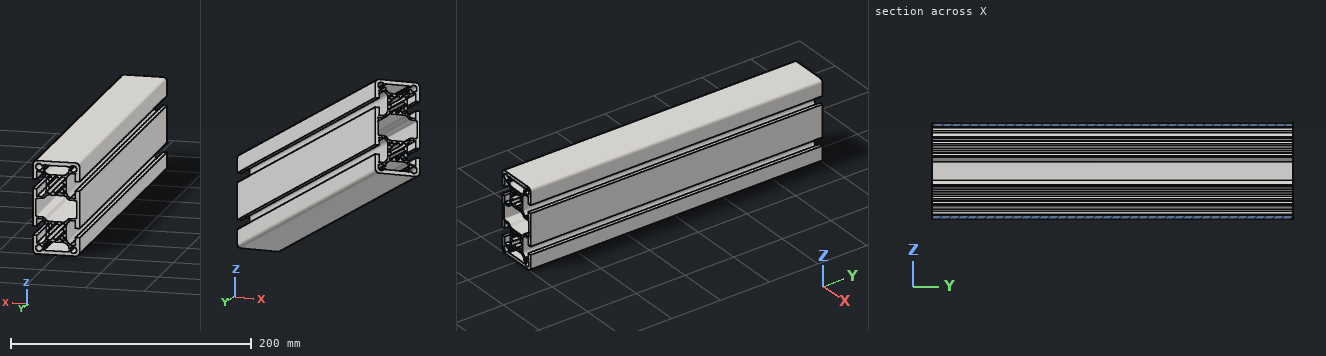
import cadquery as cq
import math

WIDTH = 40.0
LENGTH = 300.0
HEIGHT = 80.0
CORNER_RADIUS = 3.5

END_WALL = 3.5
SIDE_WALL = 2.5
LIP = 3.5
SLOT_WALL = 1.7
WEB = 1.8
WEB_FILLET = 4.0
CAVITY_CORNER_FILLET = 1.5

SLOT_OPENING = 8.0
SLOT_WIDTH = 21.0
SLOT_BEVEL = 3.3

CORE_SIZE = 17.4
CORE_WALL = 1.5
CORE_CORNER_RADIUS = 0.5

TOOTH_OFFSET = 2.8
TOOTH_HEIGHT = 2.2
TOOTH_BASE = 3.8

END_CAVITY_WIDTH = 21.2
CHANNEL_INSET = 5.3
CHANNEL_DIAMETER = 5.5
CHANNEL_MOUTH = 2.6

HALF_WIDTH = WIDTH / 2
HALF_CORE = CORE_SIZE / 2
HALF_SLOT = SLOT_WIDTH / 2
HALF_BORE = HALF_CORE - CORE_WALL
MODULE_HEIGHT = HEIGHT / 2
MODULE_CENTRE = MODULE_HEIGHT / 2
SLOT_FACE_RISE = HALF_SLOT - (HALF_CORE + SLOT_BEVEL)
WEB_RISE = SLOT_FACE_RISE + WEB * math.sqrt(2)

SIDES = (-1, 1)
CORE_WALLS = 4


def section(x=0, z=0):
    """Workplane on the front end face, with its origin at (x, z)."""
    return cq.Workplane("XZ", origin=(x, -LENGTH / 2, z))


def prism(outline):
    """Extrude an outline over the full length of the part."""
    return outline.extrude(-LENGTH)


def mirrored_prism(right_half, z):
    """Prism whose outline is right_half and its mirror image across X = 0."""
    left_half = [(-x, dz) for x, dz in reversed(right_half)]
    return prism(section(z=z).polyline(right_half + left_half).close())


def round_edges(solid, corners, radius):
    """Fillet the lengthwise edges that pass through the given (x, z) corners."""
    for x, z in corners:
        solid = solid.edges(cq.selectors.NearestToPointSelector((x, 0, z))).fillet(radius)
    return solid


def body():
    """Solid bar with rounded long edges."""
    bar = prism(section().rect(WIDTH, HEIGHT))
    return bar.edges("|Y").fillet(CORNER_RADIUS)


def slot(side, z):
    """T-slot: narrow opening, wide chamber and bevelled deep corners."""
    lip_x = HALF_WIDTH - LIP
    upper = [
        (HALF_WIDTH, SLOT_OPENING / 2),
        (lip_x, SLOT_OPENING / 2),
        (lip_x, HALF_SLOT),
        (HALF_CORE + SLOT_BEVEL, HALF_SLOT),
        (HALF_CORE, HALF_SLOT - SLOT_BEVEL),
    ]
    lower = [(x, -dz) for x, dz in reversed(upper)]
    points = [(side * x, dz) for x, dz in upper + lower]
    chamber = prism(section(z=z).polyline(points).close())
    core_x, core_rise = upper[-1]
    corners = [(side * core_x, z + end * core_rise) for end in SIDES]
    return round_edges(chamber, corners, WEB_FILLET)


def middle_cavity():
    """Cavity between the two cores, bounded by the webs and the slot walls."""
    slot_wall_z = MODULE_CENTRE - HALF_SLOT - SLOT_WALL
    core = (HALF_CORE - WEB_RISE, MODULE_CENTRE - HALF_CORE)
    web = (HALF_SLOT + SLOT_WALL - WEB_RISE, slot_wall_z)
    outer = (HALF_WIDTH - SIDE_WALL, slot_wall_z)
    upper = [core, web, outer]
    lower = [(x, -z) for x, z in reversed(upper)]
    cavity = mirrored_prism(upper + lower, 0)
    for side in SIDES:
        for end in SIDES:
            web_corners = [(side * x, end * z) for x, z in (core, web)]
            outer_corner = (side * outer[0], end * outer[1])
            cavity = round_edges(cavity, web_corners, WEB_FILLET)
            cavity = round_edges(cavity, [outer_corner], CAVITY_CORNER_FILLET)
    return cavity


def end_cavity(end):
    """Cavity between a core and its end wall, joined to its two corner channels."""
    half_cavity = END_CAVITY_WIDTH / 2
    core_x = HALF_CORE - WEB_RISE
    right_half = [
        (core_x, end * HALF_CORE),
        (half_cavity, end * (half_cavity + WEB_RISE)),
        (half_cavity, end * (MODULE_HEIGHT / 2 - END_WALL)),
    ]
    cavity = mirrored_prism(right_half, end * MODULE_CENTRE)
    core_corners = [(side * core_x, end * (MODULE_CENTRE + HALF_CORE)) for side in SIDES]
    cavity = round_edges(cavity, core_corners, WEB_FILLET)
    channel_x = HALF_WIDTH - CHANNEL_INSET
    channel_z = end * (HEIGHT / 2 - CHANNEL_INSET)
    mouths = prism(section(z=channel_z).rect(2 * channel_x, CHANNEL_MOUTH))
    cavity = cavity.union(mouths)
    for side in SIDES:
        channel = prism(section(side * channel_x, channel_z).circle(CHANNEL_DIAMETER / 2))
        cavity = cavity.union(channel)
    return cavity


def core_bore(z):
    """Bore of a core: a rounded square with two pointed teeth on every wall."""
    bore = prism(section(z=z).rect(2 * HALF_BORE, 2 * HALF_BORE))
    bore = bore.edges("|Y").fillet(CORE_CORNER_RADIUS)
    half_base = TOOTH_BASE / 2
    for side in SIDES:
        middle = side * TOOTH_OFFSET
        points = [
            (HALF_BORE, middle - half_base),
            (HALF_BORE - TOOTH_HEIGHT, middle),
            (HALF_BORE, middle + half_base),
        ]
        tooth = prism(section(z=z).polyline(points).close())
        for wall in range(CORE_WALLS):
            bore = bore.cut(tooth.rotate((0, 0, z), (0, 1, z), wall * 360 / CORE_WALLS))
    return bore


result = body().cut(middle_cavity())
for end in SIDES:
    module_z = end * MODULE_CENTRE
    result = result.cut(end_cavity(end)).cut(core_bore(module_z))
    for side in SIDES:
        result = result.cut(slot(side, module_z))